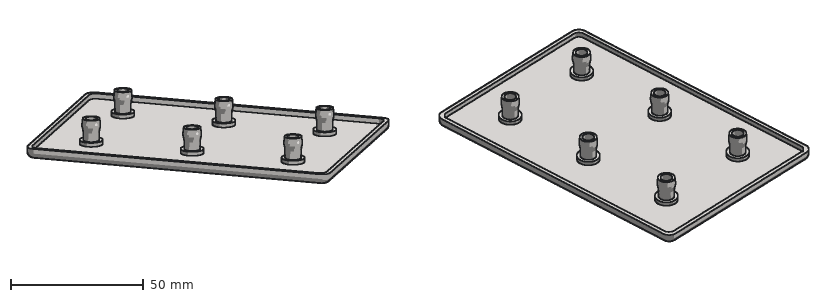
import cadquery as cq
import math

length = 120.0
width = length * 2 / 3
total_height = 12.0
tray_height = 4.1
corner_radius = 3.4
bottom_fillet = 2.3
rim_width = 1.7
recess_corner_radius = 2.5
floor_thickness = 2.0

columns = 3
rows = 2
pitch = length / 3

base_diameter = 8.8
base_height = 1.5
shaft_diameter = 6.1
collar_diameter = 7.0
tip_diameter = 6.5
barb_start_drop = 5.0
collar_bottom_drop = 3.0
collar_top_drop = 2.2

bore_diameter = 4.5
bore_depth = 9.0


def make_tray():
    body = (
        cq.Workplane("XY")
        .box(length, width, tray_height, centered=(True, True, False))
        .edges("|Z")
        .fillet(corner_radius)
        .faces("<Z")
        .edges()
        .fillet(bottom_fillet)
    )
    recess = (
        cq.Workplane("XY", origin=(0, 0, floor_thickness))
        .box(length - 2 * rim_width, width - 2 * rim_width, tray_height, centered=(True, True, False))
        .edges("|Z")
        .fillet(recess_corner_radius)
    )
    return body.cut(recess)


def make_peg():
    """Revolve the barbed peg about Z, from the tray floor up to its bored tip."""
    base_top = floor_thickness + base_height
    bore_radius = bore_diameter / 2
    bore_bottom = total_height - bore_depth
    bore_centre = bore_bottom + bore_radius
    arc_offset = bore_radius * math.sqrt(0.5)
    return (
        cq.Workplane("XZ")
        .moveTo(0, floor_thickness)
        .lineTo(base_diameter / 2, floor_thickness)
        .lineTo(base_diameter / 2, base_top)
        .lineTo(shaft_diameter / 2, base_top)
        .lineTo(shaft_diameter / 2, total_height - barb_start_drop)
        .lineTo(collar_diameter / 2, total_height - collar_bottom_drop)
        .lineTo(collar_diameter / 2, total_height - collar_top_drop)
        .lineTo(tip_diameter / 2, total_height)
        .lineTo(bore_radius, total_height)
        .lineTo(bore_radius, bore_centre)
        .threePointArc((arc_offset, bore_centre - arc_offset), (0, bore_bottom))
        .close()
        .revolve(360, (0, 0, 0), (0, 1, 0))
    )


result = make_tray()
peg = make_peg()
for column in range(columns):
    for row in range(rows):
        peg_x = (column - (columns - 1) / 2) * pitch
        peg_y = (row - (rows - 1) / 2) * pitch
        result = result.union(peg.translate((peg_x, peg_y, 0)))